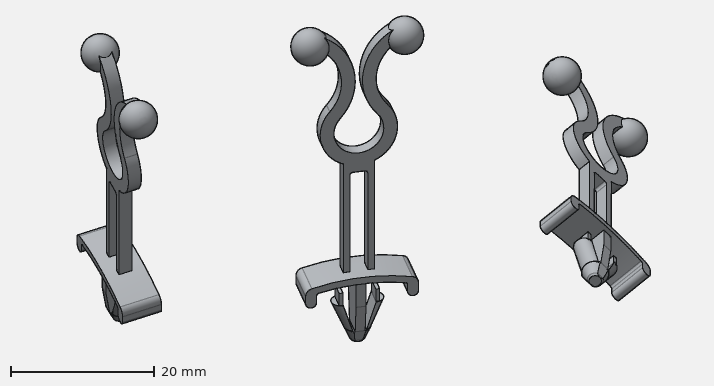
import cadquery as cq
import math

HEIGHT = 51.0
WIDTH = 18.95

ARM_THICKNESS = 2.0
RING_INNER_RADIUS = 3.55
RING_RADIUS = RING_INNER_RADIUS + ARM_THICKNESS / 2
RING_Z = 34.25
ARM_GAP = 1.0
BEND_RADIUS = 7.75
BEND_END_ANGLE = 115.0
BALL_RADIUS = 2.7

STEM_WIDTH = 4.5
SLOT_WIDTH = 2.55
SLOT_TOP_Z = 27.65
SLOT_FILLET = 0.4

SADDLE_WIDTH = 16.2
SADDLE_DEPTH = 5.9
SADDLE_TOP_Z = 11.65
SADDLE_THICKNESS = 1.05
SADDLE_RADIUS = 30.6
FOOT_WIDTH = 1.6
FOOT_BOTTOM_Z = 7.65
FOOT_OUTER_FILLET = 1.15
FOOT_INNER_FILLET = 0.4
CORNER_MARGIN = 0.05

POST_WIDTH = 1.45
POST_TOP_HALF_DEPTH = 2.3
POST_BASE_HALF_DEPTH = 1.75
BARB_TOP_Z = 6.5
BARB_BASE_Z = 2.2
BARB_TOP_RADIUS = 1.55
BARB_BASE_RADIUS = 1.7
BARB_TOP_REACH = 3.75
BARB_BASE_REACH = 1.95
BARB_TOP_INNER_X = 2.35
BARB_BASE_INNER_X = 0.95
TAB_THICKNESS = 0.55
TAB_DEPTH = 2.65
TAB_TOP_Z = 8.45
TIP_CONE_BOTTOM_Z = 0.3
TIP_CONE_RADIUS = 1.1
TIP_END_RADIUS = 0.85
TIP_FLAT_HALF_DEPTH = 0.95


def extrude_centered(outline, depth):
    """Extrude a closed XZ outline symmetrically about the plane y = 0."""
    return outline.extrude(depth / 2, both=True)


def rotated_pair(body):
    return body.union(body.rotate((0, 0, 0), (0, 0, 1), 180))


def make_arms():
    """Open ring whose ends run tangentially into two outward bends."""
    half = ARM_THICKNESS / 2
    bend_x = ARM_GAP / 2 + half + BEND_RADIUS
    bend_z = RING_Z + math.sqrt((RING_RADIUS + BEND_RADIUS) ** 2 - bend_x**2)
    joint_angle = math.degrees(math.atan2(bend_z - RING_Z, bend_x))
    bend_middle_angle = (joint_angle + 180 + BEND_END_ANGLE) / 2

    def ring_point(radius, angle, side=1):
        a = math.radians(angle)
        return (side * radius * math.cos(a), RING_Z + radius * math.sin(a))

    def bend_point(radius, angle, side=1):
        a = math.radians(angle)
        return (side * (bend_x + radius * math.cos(a)), bend_z + radius * math.sin(a))

    ring_outer = RING_RADIUS + half
    bend_outer = BEND_RADIUS + half
    bend_inner = BEND_RADIUS - half
    outline = (
        cq.Workplane("XZ")
        .moveTo(*bend_point(bend_inner, BEND_END_ANGLE, -1))
        .threePointArc(
            bend_point(bend_inner, bend_middle_angle, -1),
            ring_point(ring_outer, joint_angle, -1),
        )
        .threePointArc(ring_point(ring_outer, -90), ring_point(ring_outer, joint_angle))
        .threePointArc(bend_point(bend_inner, bend_middle_angle), bend_point(bend_inner, BEND_END_ANGLE))
        .lineTo(*bend_point(bend_outer, BEND_END_ANGLE))
        .threePointArc(
            bend_point(bend_outer, bend_middle_angle),
            ring_point(RING_INNER_RADIUS, joint_angle),
        )
        .threePointArc(
            ring_point(RING_INNER_RADIUS, -90),
            ring_point(RING_INNER_RADIUS, joint_angle, -1),
        )
        .threePointArc(
            bend_point(bend_outer, bend_middle_angle, -1),
            bend_point(bend_outer, BEND_END_ANGLE, -1),
        )
        .close()
    )
    return extrude_centered(outline, ARM_THICKNESS)


def make_ball():
    ball = cq.Workplane("XY").sphere(BALL_RADIUS)
    return ball.translate((WIDTH / 2 - BALL_RADIUS, 0, HEIGHT - BALL_RADIUS))


def make_stem():
    bottom = SADDLE_TOP_Z - SADDLE_THICKNESS / 2
    top = RING_Z - RING_RADIUS
    stem = cq.Workplane("XY").box(STEM_WIDTH, ARM_THICKNESS, top - bottom, centered=(True, True, False))
    slot = cq.Workplane("XY").box(
        SLOT_WIDTH, ARM_THICKNESS, SLOT_TOP_Z - bottom, centered=(True, True, False)
    )
    slot = slot.faces(">Z").edges("|Y").fillet(SLOT_FILLET)
    return stem.cut(slot).translate((0, 0, bottom))


def make_saddle():
    outer_x = SADDLE_WIDTH / 2
    inner_x = outer_x - FOOT_WIDTH
    arch_center_z = SADDLE_TOP_Z - SADDLE_RADIUS
    underside_radius = SADDLE_RADIUS - SADDLE_THICKNESS
    outer_z = arch_center_z + math.sqrt(SADDLE_RADIUS**2 - outer_x**2)
    inner_z = arch_center_z + math.sqrt(underside_radius**2 - inner_x**2)
    foot_round_z = FOOT_BOTTOM_Z + FOOT_WIDTH / 2
    foot_middle_x = outer_x - FOOT_WIDTH / 2
    saddle = extrude_centered(
        cq.Workplane("XZ")
        .moveTo(-outer_x, outer_z)
        .threePointArc((0, SADDLE_TOP_Z), (outer_x, outer_z))
        .lineTo(outer_x, foot_round_z)
        .threePointArc((foot_middle_x, FOOT_BOTTOM_Z), (inner_x, foot_round_z))
        .lineTo(inner_x, inner_z)
        .threePointArc((0, SADDLE_TOP_Z - SADDLE_THICKNESS), (-inner_x, inner_z))
        .lineTo(-inner_x, foot_round_z)
        .threePointArc((-foot_middle_x, FOOT_BOTTOM_Z), (-outer_x, foot_round_z))
        .close(),
        SADDLE_DEPTH,
    )

    def corner_edges(x, z):
        margin = CORNER_MARGIN
        return cq.selectors.BoxSelector(
            (x - margin, -SADDLE_DEPTH, z - margin), (x + margin, SADDLE_DEPTH, z + margin)
        )

    for side in (-1, 1):
        saddle = saddle.edges(corner_edges(side * outer_x, outer_z)).fillet(FOOT_OUTER_FILLET)
        saddle = saddle.edges(corner_edges(side * inner_x, inner_z)).fillet(FOOT_INNER_FILLET)
    return saddle


def make_post():
    """Thin central blade, straight under the saddle and tapering beside the barbs."""
    top = SADDLE_TOP_Z - SADDLE_THICKNESS / 2
    return (
        cq.Workplane("YZ")
        .moveTo(-POST_TOP_HALF_DEPTH, top)
        .lineTo(POST_TOP_HALF_DEPTH, top)
        .lineTo(POST_TOP_HALF_DEPTH, BARB_TOP_Z)
        .lineTo(POST_BASE_HALF_DEPTH, BARB_BASE_Z)
        .lineTo(-POST_BASE_HALF_DEPTH, BARB_BASE_Z)
        .lineTo(-POST_TOP_HALF_DEPTH, BARB_TOP_Z)
        .close()
        .extrude(POST_WIDTH / 2, both=True)
    )


def make_barb():
    """Right-hand barb: a leaning round body with a flat inner face and an upright tab."""
    body = (
        cq.Workplane("XY", origin=(0, 0, BARB_BASE_Z))
        .center(BARB_BASE_REACH - BARB_BASE_RADIUS, 0)
        .circle(BARB_BASE_RADIUS)
        .workplane(offset=BARB_TOP_Z - BARB_BASE_Z)
        .center(BARB_TOP_REACH - BARB_TOP_RADIUS - BARB_BASE_REACH + BARB_BASE_RADIUS, 0)
        .circle(BARB_TOP_RADIUS)
        .loft()
    )
    keep = extrude_centered(
        cq.Workplane("XZ")
        .moveTo(BARB_BASE_INNER_X, BARB_BASE_Z)
        .lineTo(BARB_TOP_INNER_X, BARB_TOP_Z)
        .lineTo(BARB_TOP_REACH, BARB_TOP_Z)
        .lineTo(BARB_TOP_REACH, BARB_BASE_Z)
        .close(),
        SADDLE_DEPTH,
    )
    tab = cq.Workplane("XY", origin=(BARB_TOP_INNER_X, 0, BARB_TOP_Z)).box(
        TAB_THICKNESS, TAB_DEPTH, TAB_TOP_Z - BARB_TOP_Z, centered=(False, True, False)
    )
    return body.intersect(keep).union(tab)


def make_tip():
    """Conical nose with sloping flats on its front and back."""
    cone = (
        cq.Workplane("XZ")
        .lineTo(TIP_END_RADIUS, 0)
        .lineTo(TIP_CONE_RADIUS, TIP_CONE_BOTTOM_Z)
        .lineTo(BARB_BASE_REACH, BARB_BASE_Z)
        .lineTo(0, BARB_BASE_Z)
        .close()
        .revolve(360, (0, 0, 0), (0, 1, 0))
    )
    flats = (
        cq.Workplane("YZ")
        .moveTo(-TIP_END_RADIUS, 0)
        .lineTo(TIP_END_RADIUS, 0)
        .lineTo(TIP_FLAT_HALF_DEPTH, TIP_CONE_BOTTOM_Z)
        .lineTo(POST_BASE_HALF_DEPTH, BARB_BASE_Z)
        .lineTo(-POST_BASE_HALF_DEPTH, BARB_BASE_Z)
        .lineTo(-TIP_FLAT_HALF_DEPTH, TIP_CONE_BOTTOM_Z)
        .close()
        .extrude(BARB_BASE_REACH, both=True)
    )
    return cone.intersect(flats)


clip = make_arms().union(make_stem())
pin = make_post().union(make_tip()).union(rotated_pair(make_barb()))
result = clip.union(make_saddle()).union(pin).union(rotated_pair(make_ball()))